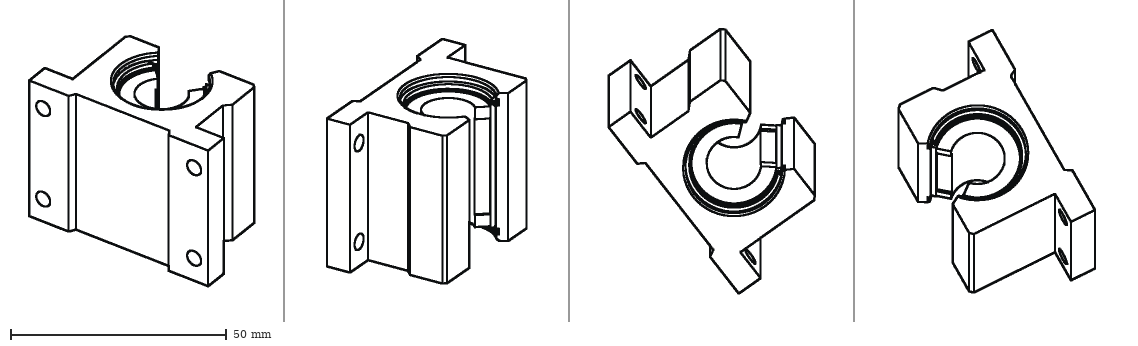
import cadquery as cq
import math

LENGTH = 38.1
BASE_WIDTH = 50.8
BASE_THICKNESS = 6.35
OVERALL_HEIGHT = 28.55
BORE_HEIGHT = 17.5
BASE_Y = -BORE_HEIGHT
TOP_Y = BASE_Y + OVERALL_HEIGHT
FLANGE_Y = BASE_Y + BASE_THICKNESS
BLOCK_HALF_WIDTH = 17.5
LEDGE_OVERHANG = 1.65
LEDGE_HEIGHT = 18.9
TOP_CHAMFER = 0.8
RELIEF_HALF_WIDTH = 13.25
RELIEF_DEPTH = 1.65
RELIEF_TAPER = 0.9

OPENING_TOP_HALF_WIDTH = 8.55
OPENING_WALL_ANGLE = 60.0

HOLE_DIAMETER = 3.95
HOLE_SPACING_X = 42.8
HOLE_SPACING_Z = 25.4

BORE_RADIUS = 11.1
MOUTH_RADIUS = 11.3
LEAD_IN_DEPTH = 0.6
FLARE_RADIUS = 11.85
FLARE_DEPTH = FLARE_RADIUS - MOUTH_RADIUS
GROOVE_RADIUS = 11.85
GROOVE_START = 1.7
RING_THICKNESS = 1.15
RING_INNER_RADIUS = 10.4
RING_END_Y = 7.25

BEARING_LENGTH = 31.8
BEARING_END_GAP = (LENGTH - BEARING_LENGTH) / 2
SHELL_INNER_RADIUS = 9.9
SHELL_FILLET = BORE_RADIUS - RING_INNER_RADIUS
RETAINER_RECESS = 0.45
RETAINER_LENGTH = BEARING_LENGTH - 2 * RETAINER_RECESS
SHAFT_RADIUS = 6.35
RETAINER_CAP_LENGTH = 3.1
SLOT_WALL_ANGLE = 50.0
SLOT_APEX_Y = -0.65
MIDDLE_SLOT_APEX_Y = -1.45

CUT_REACH = 30.5


def cylinder(radius, length):
    """Solid cylinder on the bore axis, centred on the middle of the length."""
    return cq.Workplane("XY").circle(radius).extrude(length / 2, both=True)


def tube(outer_radius, inner_radius, length):
    return cylinder(outer_radius, length).cut(cylinder(inner_radius, length))


def slot_wedge(apex_y, length):
    """Upward-opening wedge whose two walls meet at apex_y on the YZ plane."""
    reach_x = CUT_REACH / math.tan(math.radians(SLOT_WALL_ANGLE))
    top_y = apex_y + CUT_REACH
    outline = [(0, apex_y), (reach_x, top_y), (-reach_x, top_y)]
    return cq.Workplane("XY").polyline(outline).close().extrude(length / 2, both=True)


def housing_profile():
    ledge_x = BLOCK_HALF_WIDTH + LEDGE_OVERHANG
    ledge_y = BASE_Y + LEDGE_HEIGHT
    relief_floor_x = RELIEF_HALF_WIDTH
    relief_mouth_x = RELIEF_HALF_WIDTH + RELIEF_TAPER
    relief_y = BASE_Y + RELIEF_DEPTH
    outline = [
        (-BASE_WIDTH / 2, BASE_Y),
        (-relief_mouth_x, BASE_Y),
        (-relief_floor_x, relief_y),
        (relief_floor_x, relief_y),
        (relief_mouth_x, BASE_Y),
        (BASE_WIDTH / 2, BASE_Y),
        (BASE_WIDTH / 2, FLANGE_Y),
        (BLOCK_HALF_WIDTH, FLANGE_Y),
        (BLOCK_HALF_WIDTH, ledge_y - LEDGE_OVERHANG),
        (ledge_x, ledge_y),
        (ledge_x, TOP_Y - TOP_CHAMFER),
        (ledge_x - TOP_CHAMFER, TOP_Y),
        (TOP_CHAMFER - BLOCK_HALF_WIDTH, TOP_Y),
        (-BLOCK_HALF_WIDTH, TOP_Y - TOP_CHAMFER),
        (-BLOCK_HALF_WIDTH, FLANGE_Y),
        (-BASE_WIDTH / 2, FLANGE_Y),
    ]
    return cq.Workplane("XY").polyline(outline).close()


def bore_cutter():
    """Bore with flared mouths, ring grooves and a tapered lead-in inboard of each groove."""
    mouth_z = LENGTH / 2
    flare_z = mouth_z - FLARE_DEPTH
    groove_outer_z = mouth_z - GROOVE_START
    groove_inner_z = mouth_z - BEARING_END_GAP
    half_profile = [
        (FLARE_RADIUS, mouth_z),
        (MOUTH_RADIUS, flare_z),
        (MOUTH_RADIUS, groove_outer_z),
        (GROOVE_RADIUS, groove_outer_z),
        (GROOVE_RADIUS, groove_inner_z),
        (MOUTH_RADIUS, groove_inner_z),
        (BORE_RADIUS, groove_inner_z - LEAD_IN_DEPTH),
    ]
    mirrored = [(r, -z) for r, z in reversed(half_profile)]
    outline = [(0, mouth_z), *half_profile, *mirrored, (0, -mouth_z)]
    return cq.Workplane("XZ").polyline(outline).close().revolve(360, (0, 0, 0), (0, 1, 0))


def opening_cutter():
    """V-shaped opening that runs from the bore through the top of the block."""
    narrowing = TOP_Y / math.tan(math.radians(OPENING_WALL_ANGLE))
    low_x = OPENING_TOP_HALF_WIDTH - narrowing
    outline = [(-low_x, 0), (low_x, 0), (OPENING_TOP_HALF_WIDTH, TOP_Y), (-OPENING_TOP_HALF_WIDTH, TOP_Y)]
    return cq.Workplane("XY").polyline(outline).close().extrude(LENGTH / 2, both=True)


def mounting_holes():
    return (
        cq.Workplane("XZ", origin=(0, BASE_Y, 0))
        .rarray(HOLE_SPACING_X, HOLE_SPACING_Z, 2, 2)
        .circle(HOLE_DIAMETER / 2)
        .extrude(-BASE_THICKNESS)
    )


def make_housing():
    block = housing_profile().extrude(LENGTH / 2, both=True)
    return block.cut(bore_cutter()).cut(opening_cutter()).cut(mounting_holes())


def make_bearing_shell():
    shell = cylinder(BORE_RADIUS, BEARING_LENGTH).faces("|Z").edges().fillet(SHELL_FILLET)
    shell = shell.cut(cylinder(SHELL_INNER_RADIUS, BEARING_LENGTH))
    return shell.cut(slot_wedge(SLOT_APEX_Y, BEARING_LENGTH))


def make_retainer():
    """Inner sleeve whose slot is wider between its two end caps."""
    sleeve = tube(SHELL_INNER_RADIUS, SHAFT_RADIUS, RETAINER_LENGTH)
    middle_length = RETAINER_LENGTH - 2 * RETAINER_CAP_LENGTH
    sleeve = sleeve.cut(slot_wedge(SLOT_APEX_Y, RETAINER_LENGTH))
    return sleeve.cut(slot_wedge(MIDDLE_SLOT_APEX_Y, middle_length))


def make_retaining_ring(side):
    """Open ring against one bearing end; side is +1 or -1 along Z."""
    gap = cq.Workplane("XY").rect(CUT_REACH, CUT_REACH).extrude(RING_THICKNESS / 2, both=True)
    ring = tube(GROOVE_RADIUS, RING_INNER_RADIUS, RING_THICKNESS)
    ring = ring.cut(gap.translate((0, RING_END_Y + CUT_REACH / 2, 0)))
    return ring.translate((0, 0, side * (BEARING_LENGTH + RING_THICKNESS) / 2))


housing = make_housing()
bearing_shell = make_bearing_shell()
retainer = make_retainer()
retaining_rings = [make_retaining_ring(side) for side in (1, -1)]

result = cq.Compound.makeCompound(
    [housing.val(), bearing_shell.val(), retainer.val(), *[ring.val() for ring in retaining_rings]]
)